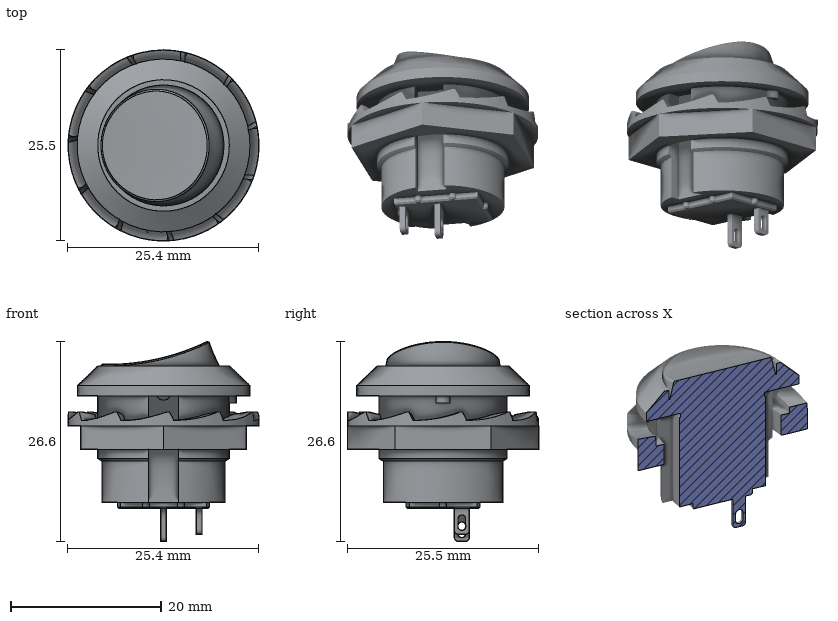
import cadquery as cq
import math


BEZEL_DIA = 23.0
BEZEL_RIM_HEIGHT = 1.35
BEZEL_HEIGHT = 4.0
BEZEL_TOP_DIA = 17.52
ROCKER_POCKET_DIA = 16.08
ROCKER_POCKET_DEPTH = 2.4

THREAD_DIA = 17.52
THREAD_END_Z = -8.34
BODY_DIA = 16.4
BODY_STEP_Z = -8.68
BODY_END_Z = -14.17
SLOT_WIDTH = 3.95
SLOT_FLOOR_Y = 6.47
PIVOT_DIA = 1.9
PIVOT_Z = 0.37
PIVOT_RECESS = 0.13
KEY_DIA = 1.9
KEY_DEPTH = 0.95

NUT_CORNER_DIA = 25.5
NUT_END_Z = -7.15
WASHER_DIA = 25.43
WASHER_BORE_DIA = 20.0
WASHER_BOTTOM_Z = -4.0
WASHER_VALLEY_Z = -3.28
WASHER_TOP_Z = -2.13
TOOTH_COUNT = 11
TOOTH_PITCH = 360 / TOOTH_COUNT
TOOTH_TIP_ANGLE = 1.5
TOOTH_DROP_ANGLE = 2.8
FIRST_VALLEY_ANGLE = -83.7

ROCKER_TILT = 12.2
ROCKER_TIP_RADIUS = 7.35
ROCKER_TIP_HEIGHT = 5.55
ROCKER_FLARE_RADIUS = 8.34
ROCKER_FLARE_HEIGHT = 1.07
ROCKER_MID_RADIUS = 7.65
ROCKER_MID_HEIGHT = 3.52
DISH_RADIUS = 30.1
ROCKER_EDGE = 0.2

BASE_LENGTH = 11.4
BASE_WIDTH = 9.0
BASE_END_Z = -15.0
BASE_CHAMFER = 0.2
RIB_RADIUS = 0.45
RIB_X = 2.35

PIN_THICKNESS = 0.77
PIN_WIDTH = 2.02
PIN_Y = 2.5
PIN_CORNER = 0.55
PIN_ENDS = {0.0: -19.39, 4.75: -18.43}
EYE_WIDTH = 1.0
EYE_LENGTH = 2.05
EYE_MARGIN = 0.53


def make_body():
    """Bezel and stepped body turned as one profile, with side slots and a key."""
    profile = [
        (0, BODY_END_Z),
        (BODY_DIA / 2, BODY_END_Z),
        (BODY_DIA / 2, BODY_STEP_Z),
        (THREAD_DIA / 2, THREAD_END_Z),
        (THREAD_DIA / 2, 0),
        (BEZEL_DIA / 2, 0),
        (BEZEL_DIA / 2, BEZEL_RIM_HEIGHT),
        (BEZEL_TOP_DIA / 2, BEZEL_HEIGHT),
        (ROCKER_POCKET_DIA / 2, BEZEL_HEIGHT),
        (ROCKER_POCKET_DIA / 2, BEZEL_HEIGHT - ROCKER_POCKET_DEPTH),
        (0, BEZEL_HEIGHT - ROCKER_POCKET_DEPTH),
    ]
    body = cq.Workplane("XZ").polyline(profile).close().revolve(360, (0, 0), (0, 1))

    slot_depth = THREAD_DIA / 2 - SLOT_FLOOR_Y
    for side in (-1, 1):
        slot = (
            cq.Workplane("XY")
            .center(0, side * (SLOT_FLOOR_Y + slot_depth / 2))
            .rect(SLOT_WIDTH, slot_depth)
            .extrude(BODY_END_Z)
        )
        pivot_end = (
            cq.Workplane("XZ", origin=(0, side * SLOT_FLOOR_Y, 0))
            .center(0, PIVOT_Z)
            .circle(PIVOT_DIA / 2)
            .extrude(PIVOT_RECESS, both=True)
            .intersect(cq.Workplane("XY").circle(BEZEL_DIA / 2).extrude(BODY_END_Z))
        )
        body = body.cut(slot).cut(pivot_end)

    key = cq.Workplane("XY").center(THREAD_DIA / 2, 0).circle(KEY_DIA / 2).extrude(-KEY_DEPTH)
    return body.union(key)


def make_nut():
    """Hexagon nut with two corners on the Y axis; the body slots pass through its bore."""
    return (
        cq.Workplane("XY", origin=(0, 0, NUT_END_Z))
        .transformed(rotate=(0, 0, 90))
        .polygon(6, NUT_CORNER_DIA)
        .circle(THREAD_DIA / 2)
        .extrude(WASHER_BOTTOM_Z - NUT_END_Z)
    )


def make_valley():
    """Straight cutter for the gap between two teeth, running outward along X."""
    rise_angle = TOOTH_PITCH - TOOTH_TIP_ANGLE - TOOTH_DROP_ANGLE
    tooth_height = WASHER_TOP_Z - WASHER_VALLEY_Z

    def across(angle):
        return WASHER_DIA / 2 * math.sin(math.radians(angle - rise_angle / 2))

    return (
        cq.Workplane("YZ")
        .moveTo(across(-TOOTH_DROP_ANGLE), WASHER_TOP_Z)
        .lineTo(across(0), WASHER_VALLEY_Z)
        .threePointArc(
            (across(rise_angle / 2), WASHER_VALLEY_Z + tooth_height / 4),
            (across(rise_angle), WASHER_TOP_Z),
        )
        .close()
        .extrude(WASHER_DIA)
        .rotate((0, 0, 0), (0, 0, 1), FIRST_VALLEY_ANGLE + rise_angle / 2)
    )


def make_washer():
    """Ring with saw teeth: a steep drop into each valley, then a curved rise."""
    washer = (
        cq.Workplane("XY", origin=(0, 0, WASHER_BOTTOM_Z))
        .circle(WASHER_DIA / 2)
        .circle(WASHER_BORE_DIA / 2)
        .extrude(WASHER_TOP_Z - WASHER_BOTTOM_Z)
    )
    valley = make_valley()
    for tooth in range(TOOTH_COUNT):
        washer = washer.cut(valley.rotate((0, 0, 0), (0, 0, 1), tooth * TOOTH_PITCH))
    return washer


def make_rocker():
    """Flared round button with a dished top, tilted about the pivot."""
    button = (
        cq.Workplane("XZ")
        .moveTo(0, 0)
        .lineTo(ROCKER_FLARE_RADIUS, 0)
        .lineTo(ROCKER_FLARE_RADIUS, ROCKER_FLARE_HEIGHT)
        .threePointArc(
            (ROCKER_MID_RADIUS, ROCKER_MID_HEIGHT),
            (ROCKER_TIP_RADIUS, ROCKER_TIP_HEIGHT),
        )
        .lineTo(0, ROCKER_TIP_HEIGHT)
        .close()
        .revolve(360, (0, 0), (0, 1))
    )
    dish_center_z = ROCKER_TIP_HEIGHT + math.sqrt(DISH_RADIUS**2 - ROCKER_TIP_RADIUS**2)
    dish = (
        cq.Workplane("XZ")
        .center(0, dish_center_z)
        .circle(DISH_RADIUS)
        .extrude(BEZEL_DIA / 2, both=True)
    )
    button = button.cut(dish).faces(">Z").edges().chamfer(ROCKER_EDGE)
    tilted = button.rotate((0, 0, 0), (0, 1, 0), -ROCKER_TILT).translate((0, 0, PIVOT_Z))
    above_pocket_floor = (
        cq.Workplane("XY", origin=(0, 0, BEZEL_HEIGHT - ROCKER_POCKET_DEPTH))
        .circle(BEZEL_TOP_DIA / 2)
        .extrude(BEZEL_DIA)
    )
    return tilted.intersect(above_pocket_floor)


def make_base():
    """Terminal block with half-round ribs on its sides and a chamfered lower edge."""
    height = BODY_END_Z - BASE_END_Z
    base = (
        cq.Workplane("XY", origin=(0, 0, BASE_END_Z))
        .rect(BASE_LENGTH, BASE_WIDTH)
        .extrude(height)
    )
    rib_centers = []
    for side in (-1, 1):
        rib_centers.append((side * BASE_LENGTH / 2, 0))
        for rib_x in (-RIB_X, RIB_X):
            rib_centers.append((rib_x, side * BASE_WIDTH / 2))
    ribs = (
        cq.Workplane("XY", origin=(0, 0, BASE_END_Z))
        .pushPoints(rib_centers)
        .circle(RIB_RADIUS)
        .extrude(height)
    )
    return base.union(ribs).faces("<Z").chamfer(BASE_CHAMFER)


def make_pin(pin_x, end_z):
    """Flat terminal with rounded end corners and a long eye."""
    length = BODY_END_Z - end_z
    eye_z = end_z + EYE_MARGIN + EYE_LENGTH / 2
    eye = (
        cq.Workplane("YZ", origin=(pin_x, PIN_Y, eye_z))
        .slot2D(EYE_LENGTH, EYE_WIDTH, 90)
        .extrude(PIN_THICKNESS, both=True)
    )
    return (
        cq.Workplane("XY", origin=(pin_x, PIN_Y, end_z))
        .rect(PIN_THICKNESS, PIN_WIDTH)
        .extrude(length)
        .faces("<Z")
        .edges("|X")
        .fillet(PIN_CORNER)
        .cut(eye)
    )


result = make_body()
for part in (make_nut(), make_washer(), make_rocker(), make_base()):
    result = result.union(part)
for x, end_z in PIN_ENDS.items():
    result = result.union(make_pin(x, end_z))